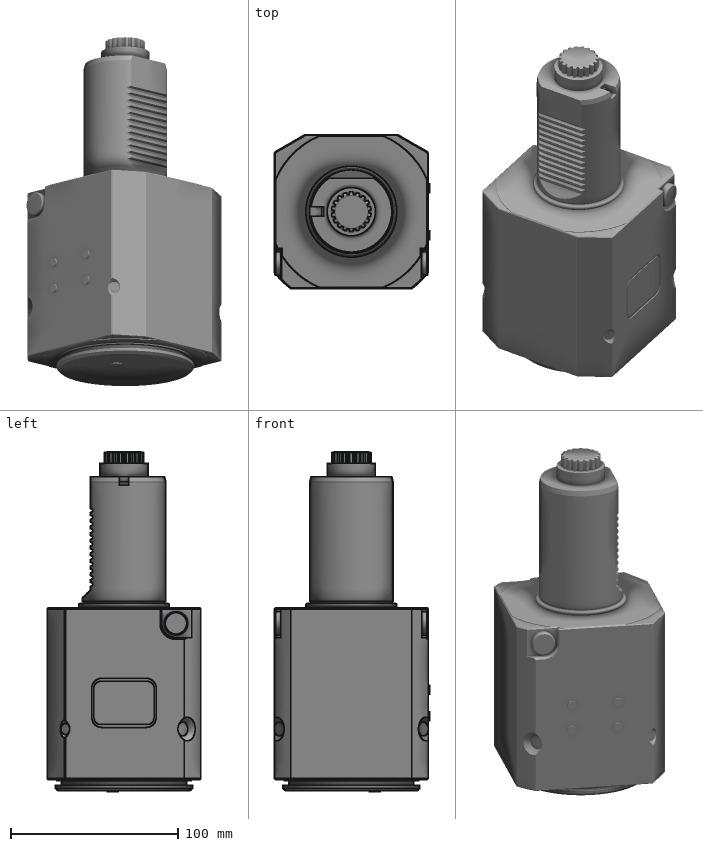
import cadquery as cq
import math


HOUSING_WIDTH = 92.0
HOUSING_HEIGHT = 102.7
FRONT_CORNER_RADIUS = 58.5
REAR_CORNER_LENGTH = 18.3
REAR_CORNER_ANGLE = 30.0
REAR_EDGE_BREAK = 0.6
RIM_CHAMFER = 0.8
TURNED_FACE_DIAMETER = 98.3
CORNER_STEP = 0.5

COLLAR_DIAMETER = 54.5
COLLAR_HEIGHT = 2.6
COLLAR_END_DIAMETER = 52.2
UNDERCUT_DIAMETER = 48.7
SHANK_BOTTOM = 3.9
SHANK_DIAMETER = 50.0
SHANK_TOP = 78.4
SHANK_CHAMFER_HEIGHT = 3.0
SHANK_CHAMFER_WIDTH = 0.8
PILOT_DIAMETER = 28.8
PILOT_TOP = 86.3
SPLINE_TOP = 93.2

TEETH = 18
SPLINE_ROOT_DIAMETER = 20.7
SPLINE_TIP_DIAMETER = 23.8
TOOTH_ROOT_WIDTH = 2.6
TOOTH_TIP_WIDTH = 1.6
BEVEL_HEIGHT = 0.5
BEVEL_WIDTH = 2.0

FLAT_Y = 20.0
FLAT_RAMP_TOP = 10.5
GROOVES = 12
GROOVE_SPAN = 44.0
GROOVE_PITCH = GROOVE_SPAN / (GROOVES - 1)
LOWEST_GROOVE_Z = 14.0
GROOVE_DEPTH = 1.5
GROOVE_MOUTH = 2.6
GROOVE_FLOOR = 1.0

SLOT_WIDTH = 5.7
SLOT_DEPTH = 5.0
SLOT_TOP_END = 16.5
SLOT_FLOOR_END = 17.7
SLOT_WALL_HEIGHT = 3.0

STEP_DIAMETER = 80.4
STEP_HEIGHT = 0.6
NECK_DIAMETER = 75.0
FLANGE_DIAMETER = 82.0
FLANGE_TOP = -106.2
COVER_BOTTOM = -109.5
FLANGE_CHAMFER = 1.6
STUB_DIAMETER = 6.7
STUB_X = 14.0
STUB_Y = 6.7
TOTAL_LENGTH = 203.0
PART_BOTTOM = SPLINE_TOP - TOTAL_LENGTH

BUTTON_Y = -31.0
BUTTON_Z = -9.3
BUTTON_DIAMETER = 14.0
BUTTON_CHAMFER = 0.6
BUTTON_RECESS = 0.2
POCKET_RADIUS = 8.5
POCKET_DEPTH = 3.9
POCKET_CHAMFER = 1.0

HOLE_Z = -72.5
FRONT_HOLE_X = 45.0
FRONT_HOLE_Y = -37.1
FRONT_HOLE_ANGLE = 45.0
FRONT_HOLE_MOUTH = 14.0
FRONT_HOLE_FLOOR = 8.3
REAR_HOLE_X = 46.3
REAR_HOLE_Y = 37.4
REAR_HOLE_ANGLE = 40.0
REAR_HOLE_MOUTH = 14.0
REAR_HOLE_FLOOR = 6.7

PLATE_Z = -56.8
RECESS_LENGTH = 38.5
RECESS_HEIGHT = 29.5
RECESS_CORNER = 6.0
RECESS_DEPTH = 0.6
PLATE_LENGTH = 36.0
PLATE_HEIGHT = 25.8
PLATE_CORNER = 4.0
PLATE_THICKNESS = 0.5
RIVET_DIAMETER = 5.3
RIVET_HEIGHT = 0.8
RIVET_SPACING_Y = 28.0
RIVET_SPACING_Z = 15.8

HALF_WIDTH = HOUSING_WIDTH / 2
OVERLAP = 2.0


def cylinder(diameter, bottom, top):
    """Upright cylinder on the shank axis."""
    return cq.Workplane("XY").workplane(offset=bottom).circle(diameter / 2).extrude(top - bottom)


def both_sides(body):
    """The body together with its mirror image on the other X side."""
    return body.union(body.mirror("YZ"))


def make_housing():
    w = HALF_WIDTH
    corner = math.sqrt(FRONT_CORNER_RADIUS**2 - w**2)
    arc_mid = FRONT_CORNER_RADIUS * math.sqrt(0.5)
    rear_x = w - REAR_CORNER_LENGTH
    rear_y = w - REAR_CORNER_LENGTH * math.tan(math.radians(REAR_CORNER_ANGLE))
    outline = (
        cq.Workplane("XY")
        .moveTo(-corner, -w)
        .lineTo(corner, -w)
        .threePointArc((arc_mid, -arc_mid), (w, -corner))
        .lineTo(w, rear_y)
        .lineTo(rear_x, w)
        .lineTo(-rear_x, w)
        .lineTo(-w, rear_y)
        .lineTo(-w, -corner)
        .threePointArc((-arc_mid, -arc_mid), (-corner, -w))
        .close()
    )
    body = outline.extrude(-HOUSING_HEIGHT)
    side_edges = cq.selectors.BoxSelector(
        (-w - OVERLAP, rear_y - OVERLAP, -HOUSING_HEIGHT), (w + OVERLAP, rear_y + OVERLAP, 0)
    )
    body = body.edges("|Z").edges(side_edges).chamfer(REAR_EDGE_BREAK)
    body = body.cut(both_sides(make_pocket()))
    return body.faces("<Z or >Z").chamfer(RIM_CHAMFER)


def pocket_profile(radius, x):
    """Pocket around the button, rounded at its lower rear, open at the top and the front."""
    opening = 2 * HALF_WIDTH
    return (
        cq.Workplane("YZ", origin=(x, 0, 0))
        .moveTo(BUTTON_Y - opening, BUTTON_Z - radius)
        .lineTo(BUTTON_Y, BUTTON_Z - radius)
        .radiusArc((BUTTON_Y + radius, BUTTON_Z), -radius)
        .lineTo(BUTTON_Y + radius, BUTTON_Z + opening)
        .lineTo(BUTTON_Y - opening, BUTTON_Z + opening)
        .close()
    )


def make_pocket():
    """Cutter for the +X pocket with its chamfered mouth."""
    pocket = pocket_profile(POCKET_RADIUS, HALF_WIDTH - POCKET_DEPTH).extrude(POCKET_DEPTH)
    mouth = pocket_profile(POCKET_RADIUS + POCKET_CHAMFER, HALF_WIDTH).extrude(-POCKET_CHAMFER, taper=45)
    return pocket.union(mouth)


def make_button():
    """Button on the floor of the +X pocket."""
    height = POCKET_DEPTH - BUTTON_RECESS + OVERLAP
    return (
        cq.Workplane("YZ", origin=(HALF_WIDTH - POCKET_DEPTH - OVERLAP, BUTTON_Y, BUTTON_Z))
        .circle(BUTTON_DIAMETER / 2)
        .extrude(height)
        .faces(">X")
        .chamfer(BUTTON_CHAMFER)
    )


def corner_step(z_low, z_high):
    """Cutter for the lowered corners outside the turned face."""
    block = cq.Workplane("XY").workplane(offset=z_low).rect(2 * HOUSING_WIDTH, 2 * HOUSING_WIDTH)
    return block.extrude(z_high - z_low).cut(cylinder(TURNED_FACE_DIAMETER, z_low, z_high))


def countersink(x, y, angle, mouth, floor):
    """Cutter for a 45-degree conical hole whose axis points outwards at an angle from X."""
    depth = (mouth - floor) / 2
    cone = cq.Solid.makeCone(
        floor / 2,
        mouth / 2 + OVERLAP,
        depth + OVERLAP,
        cq.Vector(0, 0, -depth),
        cq.Vector(0, 0, 1),
    )
    direction = (math.cos(math.radians(angle)), math.sin(math.radians(angle)), 0)
    frame = cq.Plane(origin=(x, y, HOLE_Z), xDir=(0, 0, 1), normal=direction)
    return cq.Workplane(obj=cone.moved(cq.Location(frame)))


def make_shank():
    shank = cylinder(SHANK_DIAMETER, SHANK_BOTTOM, SHANK_TOP)
    shank = shank.faces(">Z").chamfer(SHANK_CHAMFER_HEIGHT, SHANK_CHAMFER_WIDTH)
    shank = shank.cut(make_clamping_flat()).cut(make_slot())
    undercut = cylinder(UNDERCUT_DIAMETER, -OVERLAP, SHANK_BOTTOM + OVERLAP)
    pilot = cylinder(PILOT_DIAMETER, SHANK_TOP - OVERLAP, PILOT_TOP)
    return shank.union(undercut).union(make_collar()).union(pilot).union(make_spline())


def make_collar():
    return (
        cq.Workplane("XZ")
        .lineTo(COLLAR_END_DIAMETER / 2, 0)
        .threePointArc((COLLAR_DIAMETER / 2, COLLAR_HEIGHT / 2), (COLLAR_END_DIAMETER / 2, COLLAR_HEIGHT))
        .lineTo(0, COLLAR_HEIGHT)
        .close()
        .revolve(360, (0, 0, 0), (0, 1, 0))
    )


def make_clamping_flat():
    """Cutter for the flat, its 45-degree runout and the row of grooves."""
    reach = SHANK_DIAMETER / 2
    clear = reach + OVERLAP
    flat = (
        cq.Workplane("YZ", origin=(-reach, 0, 0))
        .moveTo(FLAT_Y, SHANK_TOP + OVERLAP)
        .lineTo(FLAT_Y, FLAT_RAMP_TOP)
        .lineTo(clear, FLAT_RAMP_TOP - (clear - FLAT_Y))
        .lineTo(clear, SHANK_TOP + OVERLAP)
        .close()
        .extrude(2 * reach)
    )
    for i in range(GROOVES):
        z = LOWEST_GROOVE_Z + i * GROOVE_PITCH
        groove = (
            cq.Workplane("YZ", origin=(-reach, FLAT_Y, z))
            .polyline([
                (0, -GROOVE_MOUTH / 2),
                (-GROOVE_DEPTH, -GROOVE_FLOOR / 2),
                (-GROOVE_DEPTH, GROOVE_FLOOR / 2),
                (0, GROOVE_MOUTH / 2),
            ])
            .close()
            .extrude(2 * reach)
        )
        flat = flat.union(groove)
    return flat


def make_slot():
    """Cutter for the slot that opens to -X, its inner end stepped near the floor."""
    return (
        cq.Workplane("XZ")
        .polyline([
            (-SHANK_DIAMETER, SHANK_TOP - SLOT_DEPTH),
            (-SLOT_FLOOR_END, SHANK_TOP - SLOT_DEPTH),
            (-SLOT_FLOOR_END, SHANK_TOP - SLOT_WALL_HEIGHT),
            (-SLOT_TOP_END, SHANK_TOP - SLOT_WALL_HEIGHT),
            (-SLOT_TOP_END, SHANK_TOP),
            (-SHANK_DIAMETER, SHANK_TOP),
        ])
        .close()
        .extrude(SLOT_WIDTH / 2, both=True)
    )


def make_spline():
    spline = cylinder(SPLINE_ROOT_DIAMETER, PILOT_TOP - OVERLAP, SPLINE_TOP)
    root = SPLINE_ROOT_DIAMETER / 2
    tip = SPLINE_TIP_DIAMETER / 2
    tooth = (
        cq.Workplane("XY", origin=(0, 0, PILOT_TOP))
        .polyline([
            (root - OVERLAP, -TOOTH_ROOT_WIDTH / 2),
            (root, -TOOTH_ROOT_WIDTH / 2),
            (tip, -TOOTH_TIP_WIDTH / 2),
            (tip, TOOTH_TIP_WIDTH / 2),
            (root, TOOTH_ROOT_WIDTH / 2),
            (root - OVERLAP, TOOTH_ROOT_WIDTH / 2),
        ])
        .close()
        .extrude(SPLINE_TOP - PILOT_TOP)
    )
    pitch = 360 / TEETH
    for i in range(TEETH):
        spline = spline.union(tooth.rotate((0, 0, 0), (0, 0, 1), (i + 0.5) * pitch))
    envelope = cylinder(SPLINE_TIP_DIAMETER, PILOT_TOP - OVERLAP, SPLINE_TOP)
    return spline.intersect(envelope.faces(">Z").chamfer(BEVEL_HEIGHT, BEVEL_WIDTH))


def make_cover():
    step = cylinder(STEP_DIAMETER, -HOUSING_HEIGHT - STEP_HEIGHT, -HOUSING_HEIGHT + OVERLAP)
    neck = cylinder(NECK_DIAMETER, FLANGE_TOP, -HOUSING_HEIGHT)
    flange = cylinder(FLANGE_DIAMETER, COVER_BOTTOM, FLANGE_TOP).faces("<Z").chamfer(FLANGE_CHAMFER)
    stub = cylinder(STUB_DIAMETER, PART_BOTTOM, FLANGE_TOP).translate((STUB_X, STUB_Y, 0))
    return step.union(neck).union(flange).union(stub)


def rounded_plate(length, height, corner, x, thickness):
    """Plate lying in a YZ plane, growing towards +X from x."""
    plate = cq.Workplane("YZ", origin=(x, 0, PLATE_Z)).rect(length, height).extrude(thickness)
    return plate.edges("|X").fillet(corner)


def make_rivets():
    return (
        cq.Workplane("YZ", origin=(HALF_WIDTH - OVERLAP, 0, PLATE_Z))
        .rarray(RIVET_SPACING_Y, RIVET_SPACING_Z, 2, 2)
        .circle(RIVET_DIAMETER / 2)
        .extrude(OVERLAP + RIVET_HEIGHT)
    )


front_hole = countersink(
    FRONT_HOLE_X, FRONT_HOLE_Y, -FRONT_HOLE_ANGLE, FRONT_HOLE_MOUTH, FRONT_HOLE_FLOOR
)
rear_hole = countersink(REAR_HOLE_X, REAR_HOLE_Y, REAR_HOLE_ANGLE, REAR_HOLE_MOUTH, REAR_HOLE_FLOOR)
recess = rounded_plate(RECESS_LENGTH, RECESS_HEIGHT, RECESS_CORNER, -HALF_WIDTH, RECESS_DEPTH)
name_plate = rounded_plate(
    PLATE_LENGTH, PLATE_HEIGHT, PLATE_CORNER, -HALF_WIDTH + RECESS_DEPTH - PLATE_THICKNESS, PLATE_THICKNESS
)

housing = (
    make_housing()
    .cut(corner_step(-CORNER_STEP, OVERLAP))
    .cut(corner_step(-HOUSING_HEIGHT - OVERLAP, -HOUSING_HEIGHT + CORNER_STEP))
    .cut(both_sides(front_hole))
    .cut(both_sides(rear_hole))
    .cut(recess)
    .union(name_plate)
    .union(both_sides(make_button()))
    .union(make_rivets())
)

result = housing.union(make_shank()).union(make_cover())